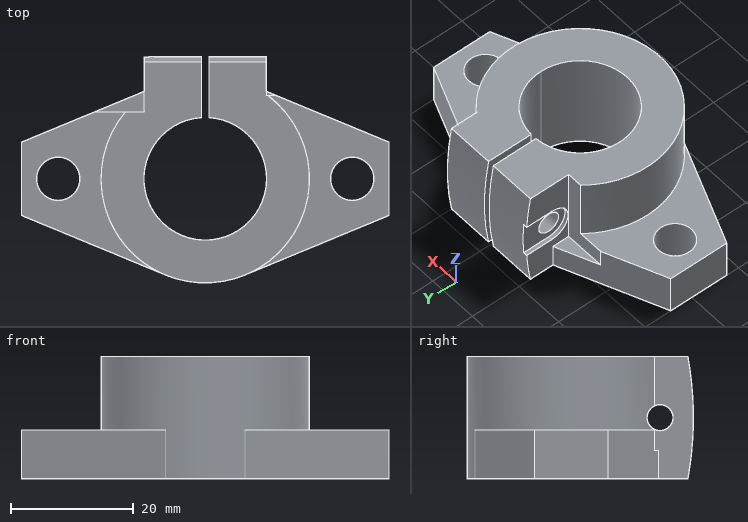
import cadquery as cq
import math

length = 60.0
end_width = 12.0
flange_thickness = 8.0
mount_hole_diameter = 7.0
mount_hole_spacing = 48.0

height = 20.0
collar_diameter = 34.0
collar_radius = collar_diameter / 2
bore_diameter = 20.0

clamp_width = bore_diameter
clamp_reach = 20.0
crown_drop = 0.9
gap = 1.2

screw_y = 14.5
screw_z = height / 2
screw_hole_diameter = 4.2
seat_radius = 3.5
seat_depth = 0.8

step_floor = 4.6
screw_side_step_y = 10.9
far_side_step_y = 13.6


def box(x_range, y_range, z_range):
    """Box between the given limits."""
    sizes = [end - start for start, end in (x_range, y_range, z_range)]
    corner = (x_range[0], y_range[0], z_range[0])
    return cq.Workplane("XY").box(*sizes, centered=False).translate(corner)


def make_flange():
    """Plate whose tapered sides run tangent to the collar."""
    half_length = length / 2
    half_end = end_width / 2
    corner_distance = math.hypot(half_length, half_end)
    tangent_angle = math.atan2(half_end, half_length) + math.acos(collar_radius / corner_distance)
    tangent_x = collar_radius * math.cos(tangent_angle)
    tangent_y = collar_radius * math.sin(tangent_angle)
    return (
        cq.Workplane("XY")
        .moveTo(-half_length, -half_end)
        .lineTo(-tangent_x, -tangent_y)
        .lineTo(tangent_x, -tangent_y)
        .lineTo(half_length, -half_end)
        .lineTo(half_length, half_end)
        .lineTo(tangent_x, tangent_y)
        .lineTo(-tangent_x, tangent_y)
        .lineTo(-half_length, half_end)
        .close()
        .extrude(flange_thickness)
    )


def make_clamp():
    """Clamp block with a gently crowned back face."""
    edge_y = clamp_reach - crown_drop
    return (
        cq.Workplane("YZ", origin=(-clamp_width / 2, 0, 0))
        .lineTo(edge_y, 0)
        .threePointArc((clamp_reach, height / 2), (edge_y, height))
        .lineTo(0, height)
        .close()
        .extrude(clamp_width)
    )


def make_steps():
    """Spaces beside the clamp for the screw and its far end."""
    inner = clamp_width / 2
    outer = length / 2
    z_range = (step_floor, height)
    screw_side = box((-outer, -inner), (screw_side_step_y, clamp_reach), z_range)
    far_side = box((inner, outer), (far_side_step_y, clamp_reach), z_range)
    return screw_side.union(far_side)


def make_screw_seat():
    """Shallow round-ended seat, open at the back of the clamp."""
    face_x = -clamp_width / 2
    seat_x = (face_x, face_x + seat_depth)
    round_end = (
        cq.Workplane("YZ", origin=(face_x, 0, 0))
        .center(screw_y, screw_z)
        .circle(seat_radius)
        .extrude(seat_depth)
    )
    opening = box(seat_x, (screw_y, clamp_reach), (screw_z - seat_radius, screw_z + seat_radius))
    return round_end.union(opening)


collar = cq.Workplane("XY").circle(collar_radius).extrude(height)
bore = cq.Workplane("XY").circle(bore_diameter / 2).extrude(height)
mount_holes = (
    cq.Workplane("XY")
    .pushPoints([(-mount_hole_spacing / 2, 0), (mount_hole_spacing / 2, 0)])
    .circle(mount_hole_diameter / 2)
    .extrude(flange_thickness)
)
split = box((-gap / 2, gap / 2), (0, clamp_reach), (0, height))
screw_hole = (
    cq.Workplane("YZ", origin=(-clamp_width / 2, 0, 0))
    .center(screw_y, screw_z)
    .circle(screw_hole_diameter / 2)
    .extrude(clamp_width / 2 + collar_radius)
)

body = make_flange().union(collar).cut(make_steps()).union(make_clamp())
result = (
    body.cut(bore)
    .cut(mount_holes)
    .cut(split)
    .cut(make_screw_seat())
    .cut(screw_hole)
)